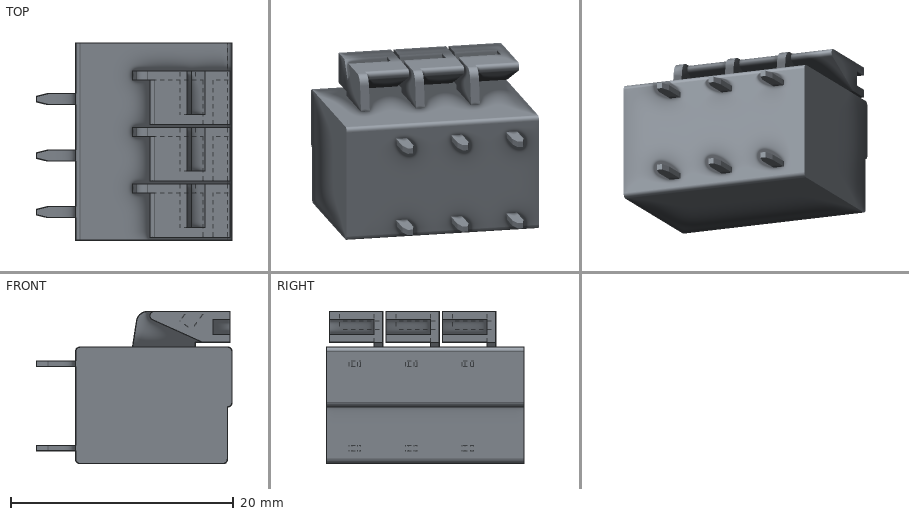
import cadquery as cq
import math

POLE_COUNT = 3
PITCH = 5.09
TOTAL_LENGTH = 17.6
TOTAL_WIDTH = 17.78
TOTAL_HEIGHT = 13.7

PIN_LENGTH = 3.52
HOUSING_HEIGHT = 10.5
OVERHANG_BOTTOM_Z = 5.1
EDGE_RADIUS = 0.41

PIN_WIDTH = 1.01
PIN_THICKNESS = 0.5
PIN_TIP_WIDTH = 0.5
PIN_TIP_LENGTH = 1.03
LOWER_PIN_Z = 1.4
UPPER_PIN_Z = 9.0

LEVER_GAP = 0.27
LEVER_WIDTH = PITCH - LEVER_GAP
LEVER_END_X = 17.42
LEVER_BOTTOM_Z = 10.92
LEVER_HEEL_X = 14.97
LEVER_SLOPE = math.radians(24.3)
NOSE_RADIUS = 0.4
END_SLOT_DEPTH = 1.53
END_SLOT_BOTTOM_Z = 11.65
END_SLOT_TOP_Z = 12.98

GROOVE_START_X = 13.55
GROOVE_END_X = 15.17
GROOVE_ROOT_X = 13.95
GROOVE_TILT = math.radians(53.5)
GROOVE_CLOSED_WALL = 0.9

RIB_WIDTH = 0.82
RIB_START_X = 8.64
RIB_FOOT_END_X = 14.31
RIB_TILT = math.radians(8.8)
RIB_RADIUS = 1.0


def extrude_along_y(outline, start_y, width):
    """Extrude a closed XZ outline from start_y towards +Y."""
    return outline.extrude(-width).translate((0, start_y, 0))


def make_housing():
    """Block with rounded long edges and an overhang at its +X end."""
    foot_end_x = TOTAL_LENGTH - EDGE_RADIUS
    outline = (
        cq.Workplane("XZ")
        .moveTo(PIN_LENGTH + EDGE_RADIUS, 0)
        .lineTo(foot_end_x - EDGE_RADIUS, 0)
        .radiusArc((foot_end_x, EDGE_RADIUS), -EDGE_RADIUS)
        .lineTo(foot_end_x, OVERHANG_BOTTOM_Z)
        .radiusArc((TOTAL_LENGTH, OVERHANG_BOTTOM_Z + EDGE_RADIUS), -EDGE_RADIUS)
        .lineTo(TOTAL_LENGTH, HOUSING_HEIGHT - EDGE_RADIUS)
        .radiusArc((TOTAL_LENGTH - EDGE_RADIUS, HOUSING_HEIGHT), -EDGE_RADIUS)
        .lineTo(PIN_LENGTH + EDGE_RADIUS, HOUSING_HEIGHT)
        .radiusArc((PIN_LENGTH, HOUSING_HEIGHT - EDGE_RADIUS), -EDGE_RADIUS)
        .lineTo(PIN_LENGTH, EDGE_RADIUS)
        .radiusArc((PIN_LENGTH + EDGE_RADIUS, 0), -EDGE_RADIUS)
        .close()
    )
    return extrude_along_y(outline, 0, TOTAL_WIDTH)


def make_pin(center_y, center_z):
    """Flat pin tapering in width towards its -X tip."""
    half_width = PIN_WIDTH / 2
    half_tip = PIN_TIP_WIDTH / 2
    outline = [
        (PIN_LENGTH, -half_width),
        (PIN_LENGTH, half_width),
        (PIN_TIP_LENGTH, half_width),
        (0, half_tip),
        (0, -half_tip),
        (PIN_TIP_LENGTH, -half_width),
    ]
    pin = cq.Workplane("XY").polyline(outline).close().extrude(PIN_THICKNESS)
    return pin.translate((0, center_y, center_z - PIN_THICKNESS / 2))


def make_rib(start_y):
    """Upright rib with a leaning, rounded -X end and a foot that stops short of the heel."""
    top_corner_x = RIB_START_X + (TOTAL_HEIGHT - HOUSING_HEIGHT) * math.tan(RIB_TILT)
    tangent_length = RIB_RADIUS * math.tan((math.pi / 2 - RIB_TILT) / 2)
    arc_start = (
        top_corner_x - tangent_length * math.sin(RIB_TILT),
        TOTAL_HEIGHT - tangent_length * math.cos(RIB_TILT),
    )
    outline = (
        cq.Workplane("XZ")
        .moveTo(RIB_START_X, HOUSING_HEIGHT)
        .lineTo(*arc_start)
        .radiusArc((top_corner_x + tangent_length, TOTAL_HEIGHT), RIB_RADIUS)
        .lineTo(LEVER_HEEL_X, TOTAL_HEIGHT)
        .lineTo(LEVER_HEEL_X, LEVER_BOTTOM_Z)
        .lineTo(RIB_FOOT_END_X, LEVER_BOTTOM_Z)
        .lineTo(RIB_FOOT_END_X, HOUSING_HEIGHT)
        .close()
    )
    return extrude_along_y(outline, start_y, RIB_WIDTH)


def make_lever_plate(start_y):
    """Wedge with a rounded nose at its -X end."""
    nose_corner_x = LEVER_HEEL_X - (TOTAL_HEIGHT - LEVER_BOTTOM_Z) / math.tan(LEVER_SLOPE)
    nose_center_x = nose_corner_x + NOSE_RADIUS / math.tan(LEVER_SLOPE / 2)
    nose_center_z = TOTAL_HEIGHT - NOSE_RADIUS
    slope_start = (
        nose_center_x - NOSE_RADIUS * math.sin(LEVER_SLOPE),
        nose_center_z - NOSE_RADIUS * math.cos(LEVER_SLOPE),
    )
    nose_tip = (nose_center_x - NOSE_RADIUS, nose_center_z)
    outline = (
        cq.Workplane("XZ")
        .moveTo(nose_center_x, TOTAL_HEIGHT)
        .threePointArc(nose_tip, slope_start)
        .lineTo(LEVER_HEEL_X, LEVER_BOTTOM_Z)
        .lineTo(LEVER_END_X, LEVER_BOTTOM_Z)
        .lineTo(LEVER_END_X, TOTAL_HEIGHT)
        .close()
    )
    return extrude_along_y(outline, start_y, LEVER_WIDTH)


def make_groove(start_y):
    """Tilted cutter with parallel walls and a square floor, running out through the +Y side."""
    root_z = TOTAL_HEIGHT - (GROOVE_END_X - GROOVE_ROOT_X) * math.tan(GROOVE_TILT)
    floor_length = (GROOVE_END_X - GROOVE_START_X) * math.sin(GROOVE_TILT)
    floor_end = (
        GROOVE_ROOT_X - floor_length * math.sin(GROOVE_TILT),
        root_z + floor_length * math.cos(GROOVE_TILT),
    )
    outline = (
        cq.Workplane("XZ")
        .moveTo(GROOVE_START_X, TOTAL_HEIGHT)
        .lineTo(*floor_end)
        .lineTo(GROOVE_ROOT_X, root_z)
        .lineTo(GROOVE_END_X, TOTAL_HEIGHT)
        .close()
    )
    return extrude_along_y(outline, start_y + GROOVE_CLOSED_WALL, LEVER_WIDTH - GROOVE_CLOSED_WALL)


def make_end_slot(start_y):
    """Cutter for the slot in the lever's +X end, open on the -Y side and ending at the rib."""
    outline = (
        cq.Workplane("XZ")
        .moveTo(LEVER_END_X - END_SLOT_DEPTH, END_SLOT_BOTTOM_Z)
        .lineTo(LEVER_END_X, END_SLOT_BOTTOM_Z)
        .lineTo(LEVER_END_X, END_SLOT_TOP_Z)
        .lineTo(LEVER_END_X - END_SLOT_DEPTH, END_SLOT_TOP_Z)
        .close()
    )
    return extrude_along_y(outline, start_y, LEVER_WIDTH - RIB_WIDTH)


def make_lever(start_y):
    """Complete lever: plate and rib, with the groove and end slot cut out."""
    rib = make_rib(start_y + LEVER_WIDTH - RIB_WIDTH)
    lever = make_lever_plate(start_y).union(rib)
    return lever.cut(make_groove(start_y)).cut(make_end_slot(start_y))


result = make_housing()
for pole in range(POLE_COUNT):
    pole_y = pole * PITCH
    for pin_z in (LOWER_PIN_Z, UPPER_PIN_Z):
        result = result.union(make_pin(pole_y + PITCH / 2, pin_z))
    result = result.union(make_lever(pole_y + LEVER_GAP))